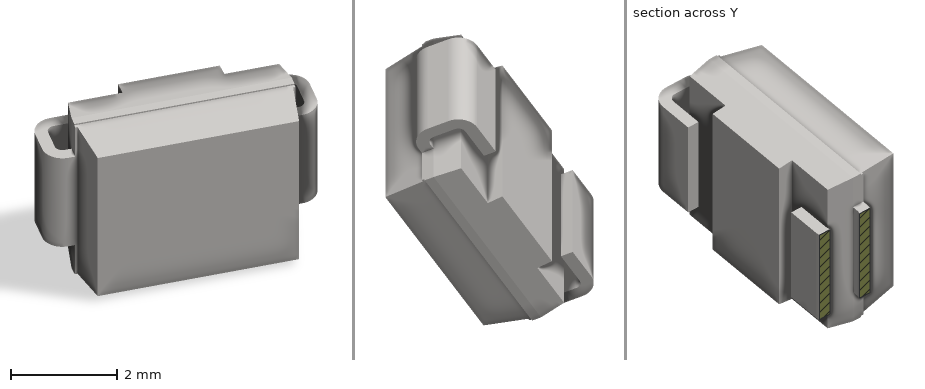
import cadquery as cq


overall_length = 5.4
lead_thickness = 0.25
lead_width = 2.14
lead_height = 1.25
lead_foot_length = 1.15
bend_outer_radius = 0.4
bend_inner_radius = bend_outer_radius - lead_thickness
lead_embed = 0.2

pad_x = 0.15
shoulder_x = 0.46
band_x = lead_height - lead_thickness
band_end_side_x = 1.19
band_end_lead_x = lead_height
body_top_x = 2.13

pad_half_y = 1.0
shoulder_half_y = 2.075
band_half_y = 2.165
band_step_half_y = 2.12
top_half_y = 1.98

pad_half_z = 1.71
band_half_z = 1.81
band_step_half_z = 1.78
top_half_z = 1.67


def symmetric_prism(plane, half_outline, half_depth):
    """Extrude a closed outline, given as its positive half and mirrored, to both sides."""
    mirrored_half = [(x, -half) for x, half in reversed(half_outline)]
    outline = half_outline + mirrored_half
    return cq.Workplane(plane).polyline(outline).close().extrude(half_depth, both=True)


def make_body():
    """Intersect the X-Y profile with the X-Z profile, so each side keeps its own draft."""
    lead_side_profile = [
        (pad_x, pad_half_y),
        (shoulder_x, pad_half_y),
        (shoulder_x, shoulder_half_y),
        (band_x, band_half_y),
        (band_end_lead_x, band_half_y),
        (band_end_lead_x, band_step_half_y),
        (body_top_x, top_half_y),
    ]
    flank_profile = [
        (pad_x, pad_half_z),
        (band_x, band_half_z),
        (band_end_side_x, band_half_z),
        (band_end_side_x, band_step_half_z),
        (body_top_x, top_half_z),
    ]
    along_z = symmetric_prism("XY", lead_side_profile, band_half_z)
    along_y = symmetric_prism("XZ", flank_profile, band_half_y)
    return along_z.intersect(along_y)


def lead_block(x_min, x_max, y_min, y_max):
    """Box of the lead's width, centred on Z."""
    return (
        cq.Workplane("XY")
        .box(x_max - x_min, y_max - y_min, lead_width, centered=(False, False, True))
        .translate((x_min, y_min, 0))
    )


def make_lead():
    """C-shaped lead on the +Y side: foot, riser and the tab entering the body."""
    outer_y = overall_length / 2
    tab_y = band_half_y - lead_embed
    foot_tip_y = outer_y - lead_foot_length
    riser_y = outer_y - lead_thickness

    outer = lead_block(0, lead_height, foot_tip_y, outer_y)
    outer = outer.edges("|Z and >Y").fillet(bend_outer_radius)
    inner = lead_block(lead_thickness, band_x, foot_tip_y, riser_y)
    inner = inner.edges("|Z and >Y").fillet(bend_inner_radius)
    tab_trim = lead_block(band_x, lead_height, foot_tip_y, tab_y)
    return outer.cut(inner).cut(tab_trim)


lead = make_lead()
result = make_body().union(lead).union(lead.mirror("XZ"))